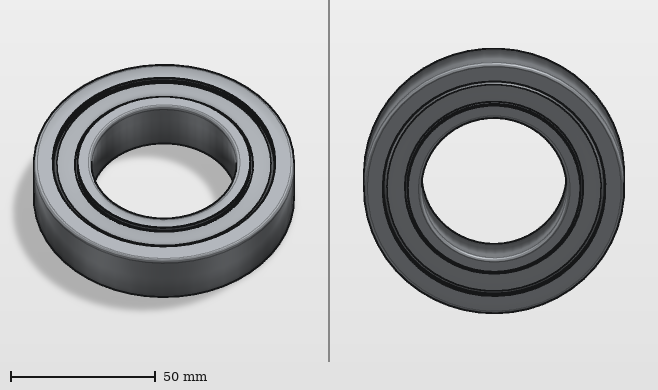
import cadquery as cq
import math

outer_diameter = 90.0
bore_diameter = 50.0
width = 20.0
corner_radius = 1.2
edge_break = 0.2

outer_ring_bore = 75.0
seat_diameter = 76.3
mouth_diameter = 76.7
mouth_depth = 1.3
mouth_bevel_depth = 0.2

land_diameter = 61.5
bevel_foot_diameter = 60.0
neck_diameter = 59.85
neck_length = 1.1
neck_bevel_depth = 0.45
land_slope = 18.0

shield_recess = 1.2
shield_thickness = 2.0
shield_bore = 61.65
shield_face_diameter = 74.0
rim_slope = 42.0

outer_radius = outer_diameter / 2
bore_radius = bore_diameter / 2
seat_radius = seat_diameter / 2
mouth_radius = mouth_diameter / 2
neck_radius = neck_diameter / 2
bevel_foot_radius = bevel_foot_diameter / 2
land_radius = land_diameter / 2
shield_face_radius = shield_face_diameter / 2
half_width = width / 2
mouth_floor = half_width - mouth_depth
shield_top = half_width - shield_recess
seat_floor = shield_top - shield_thickness
neck_foot = half_width - neck_length
bevel_foot = neck_foot - neck_bevel_depth
land_end = bevel_foot - (land_radius - bevel_foot_radius) * math.tan(math.radians(land_slope))
rim_edge = shield_top - (seat_radius - shield_face_radius) * math.tan(math.radians(rim_slope))


def revolve_profile(points):
    """Turn a closed (radius, height) outline about the Z axis."""
    return cq.Workplane("XZ").polyline(points).close().revolve(360, (0, 0, 0), (0, 1, 0))


def turn_symmetric_ring(upper_points):
    """Turn a ring from the upper half of its outline; the lower half mirrors it."""
    lower_points = [(radius, -height) for radius, height in reversed(upper_points)]
    return revolve_profile(upper_points + lower_points)


def round_corners(ring, radius):
    """Round the two end-face edges of the given radius."""
    rims = [edge for edge in ring.faces("<Z or >Z").edges("%CIRCLE").vals()
            if math.isclose(edge.radius(), radius)]
    return ring.newObject(rims).fillet(corner_radius)


def make_outer_ring():
    ring = turn_symmetric_ring([
        (outer_ring_bore / 2, seat_floor),
        (seat_radius, seat_floor),
        (seat_radius, mouth_floor - mouth_bevel_depth),
        (mouth_radius, mouth_floor),
        (mouth_radius, half_width - edge_break),
        (mouth_radius + edge_break, half_width),
        (outer_radius, half_width),
    ])
    return round_corners(ring, outer_radius)


def make_inner_ring():
    ring = turn_symmetric_ring([
        (bore_radius, half_width),
        (neck_radius - edge_break, half_width),
        (neck_radius, half_width - edge_break),
        (neck_radius, neck_foot),
        (bevel_foot_radius, bevel_foot),
        (land_radius, land_end),
    ])
    return round_corners(ring, bore_radius)


def make_shield(side):
    """Make the shield at the top (side = 1) or the bottom (side = -1)."""
    outline = [
        (shield_bore / 2, seat_floor),
        (shield_bore / 2, shield_top),
        (shield_face_radius, shield_top),
        (seat_radius, rim_edge),
        (seat_radius, seat_floor),
    ]
    return revolve_profile([(radius, side * height) for radius, height in outline])


outer_ring = make_outer_ring()
inner_ring = make_inner_ring()
shields = [make_shield(side) for side in (1, -1)]

result = cq.Compound.makeCompound(
    [outer_ring.val(), inner_ring.val(), *[shield.val() for shield in shields]]
)